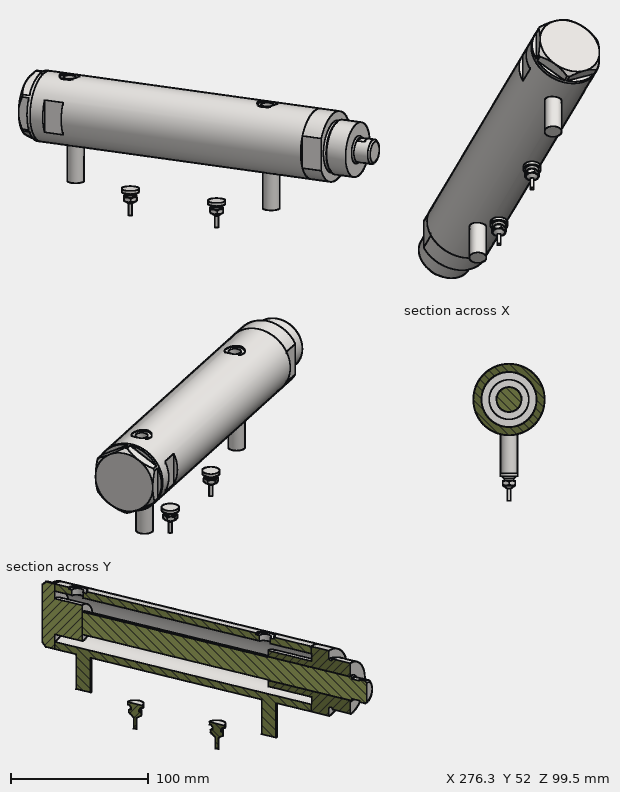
import cadquery as cq
import math

total_length = 276.3
outer_radius = 26.0
bore_radius = 20.0
across_flats = 46.0
boss_radius = 14.5

cap_head_length = 8.3
cap_chamfer = 3.0
cap_flange_thickness = 2.5
cap_boss_end = 34.3

barrel_start = cap_head_length + cap_flange_thickness
barrel_end = 229.0
barrel_flat_start = 21.0
barrel_flat_length = 15.0
port_positions = (30.0, 189.5)
port_diameter = 9.0
spotface_diameter = 15.0
spotface_depth = 1.5

stand_middle = 113.8
foot_spacing = 157.8
foot_diameter = 12.5
foot_bottom = -53.3
plug_spacing = 69.5

gland_boss_start = 192.3
gland_face = 244.2
groove_bottom = 246.0
groove_end = 247.3
groove_shoulder_radius = 19.3
groove_radius = 18.5
collar_radius = 20.2
collar_end = 262.5
wiper_lip_end = 264.0
wiper_lip_radius = 10.2

rod_radius = 9.0
rod_tip_chamfer = 1.5
rod_flat_start = wiper_lip_end
rod_flat_end = 270.0
rod_across_flats = 16.0

plug_head_radius = 6.4
plug_head_thickness = 2.5
plug_shoulder_radius = 5.0
plug_neck_radius = 3.5
plug_neck_top = 4.1
plug_hex_top = 5.5
plug_hex_bottom = 9.0
plug_hex_across_flats = 9.5
plug_hex_chamfer = 0.8
plug_taper_radius = 4.5
plug_taper_bottom = 11.3
plug_stem_radius = 1.5
plug_length = 20.2


def cylinder_along_x(start, end, radius):
    """Solid cylinder on the main axis between two X positions."""
    return cq.Workplane("YZ", origin=(start, 0, 0)).circle(radius).extrude(end - start)


def side_cutters(start, length, flat_distance):
    """Two blocks that cut parallel flats on the +Y and -Y sides."""
    depth = outer_radius
    offset = (flat_distance + depth) / 2
    centres = [(start + length / 2, offset), (start + length / 2, -offset)]
    return cq.Workplane("XY").pushPoints(centres).box(length, depth, 2 * outer_radius)


def make_cap():
    """Hexagonal head with rounded-off corners, flange and inner boss."""
    hex_corner_diameter = across_flats / math.cos(math.pi / 6)
    head = (
        cq.Workplane("YZ")
        .transformed(rotate=(0, 0, 90))
        .polygon(6, hex_corner_diameter)
        .extrude(cap_head_length)
    )
    head_envelope = cylinder_along_x(0, cap_head_length, outer_radius).faces("<X").chamfer(cap_chamfer)
    flange = cylinder_along_x(cap_head_length, barrel_start, outer_radius)
    boss = cylinder_along_x(barrel_start, cap_boss_end, boss_radius)
    return head.intersect(head_envelope).union(flange).union(boss)


def make_barrel():
    """Tube with wrench flats, two spotfaced oil ports on top and two feet below."""
    barrel = cylinder_along_x(barrel_start, barrel_end, outer_radius)
    for side in (-1, 1):
        foot = (
            cq.Workplane("XY", origin=(stand_middle + side * foot_spacing / 2, 0, foot_bottom))
            .circle(foot_diameter / 2)
            .extrude(-foot_bottom)
        )
        barrel = barrel.union(foot)
    barrel = barrel.cut(cylinder_along_x(barrel_start, barrel_end, bore_radius))
    barrel = barrel.cut(side_cutters(barrel_flat_start, barrel_flat_length, across_flats))
    for position in port_positions:
        top = cq.Workplane("XY", origin=(position, 0, outer_radius))
        barrel = barrel.cut(top.circle(spotface_diameter / 2).extrude(-spotface_depth))
        barrel = barrel.cut(top.circle(port_diameter / 2).extrude(-outer_radius))
    return barrel


def make_gland():
    """Guide of the rod: flatted head, grooved collar, wiper lip and inner boss."""
    profile = [
        (gland_boss_start, rod_radius),
        (gland_boss_start, boss_radius),
        (barrel_end, boss_radius),
        (barrel_end, outer_radius),
        (gland_face, outer_radius),
        (gland_face, groove_shoulder_radius),
        (groove_bottom, groove_radius),
        (groove_end, collar_radius),
        (collar_end, collar_radius),
        (collar_end, wiper_lip_radius),
        (wiper_lip_end, rod_radius),
    ]
    gland = cq.Workplane("XZ").polyline(profile).close().revolve(360, (0, 0, 0), (1, 0, 0))
    return gland.cut(side_cutters(barrel_end, gland_face - barrel_end, across_flats))


def make_rod():
    """Rod from the cap boss to the free tip, with wrench flats above and below."""
    rod = cylinder_along_x(cap_boss_end, total_length, rod_radius).faces(">X").chamfer(rod_tip_chamfer)
    flats = side_cutters(rod_flat_start, rod_flat_end - rod_flat_start, rod_across_flats)
    return rod.cut(flats.rotate((0, 0, 0), (1, 0, 0), 90))


def make_plug(x_position):
    """Round head, tapered neck, hexagon and thin stem pointing down."""
    turned_profile = [
        (0, 0),
        (plug_head_radius, 0),
        (plug_head_radius, -plug_head_thickness),
        (plug_shoulder_radius, -plug_head_thickness),
        (plug_neck_radius, -plug_neck_top),
        (plug_neck_radius, -plug_hex_bottom),
        (plug_taper_radius, -plug_hex_bottom),
        (plug_stem_radius, -plug_taper_bottom),
        (plug_stem_radius, -plug_length),
        (0, -plug_length),
    ]
    turned = cq.Workplane("XZ").polyline(turned_profile).close().revolve(360, (0, 0, 0), (0, 1, 0))
    hex_corner_diameter = plug_hex_across_flats / math.cos(math.pi / 6)
    hex_height = plug_hex_bottom - plug_hex_top
    hex_base = cq.Workplane("XY", origin=(0, 0, -plug_hex_bottom))
    hexagon = hex_base.polygon(6, hex_corner_diameter).extrude(hex_height)
    hex_envelope = hex_base.circle(hex_corner_diameter / 2).extrude(hex_height)
    hexagon = hexagon.intersect(hex_envelope.faces("<Z or >Z").chamfer(plug_hex_chamfer))
    return turned.union(hexagon).translate((x_position, 0, foot_bottom))


cap = make_cap()
barrel = make_barrel()
gland = make_gland()
rod = make_rod()
plugs = [make_plug(stand_middle + side * plug_spacing / 2) for side in (-1, 1)]

result = cq.Compound.makeCompound(
    [cap.val(), barrel.val(), gland.val(), rod.val(), *[plug.val() for plug in plugs]]
)